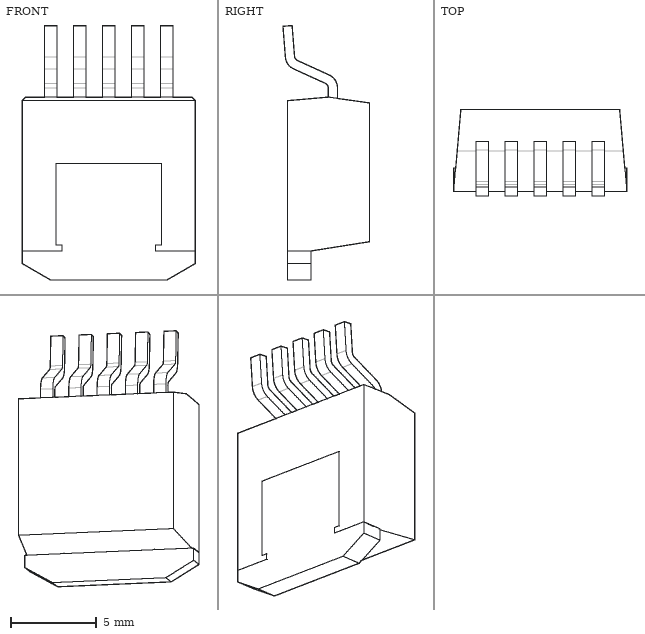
import cadquery as cq
import math

TOTAL_HEIGHT = 14.91

HOUSING_WIDTH = 10.15
HOUSING_DEPTH = 4.82
HOUSING_BOTTOM = 1.7
PARTING_Y = 2.39
PARTING_TOP = 10.72
SIDE_DRAFT = 5.0
FRONT_TOP_DRAFT = 5.0
BACK_TOP_DRAFT = 8.0
BOTTOM_DRAFT = 9.0

TAB_THICKNESS = 1.39
TAB_END_WIDTH = 6.81
TAB_CORNER_HEIGHT = 0.97
NECK_WIDTH = 5.45
NECK_TOP = 2.06
PAD_WIDTH = 6.19
PAD_TOP = 6.83

LEAD_COUNT = 5
LEAD_PITCH = 1.7
LEAD_WIDTH = 0.75
LEAD_THICKNESS = 0.55
BEND_RADIUS = 0.57
LOWER_BEND_Z = 11.61
UPPER_BEND_Z = 12.75
MIDDLE_RISE = 24.5
TIP_LEAN = 4.5


def slope(angle):
    return math.tan(math.radians(angle))


def make_tab():
    """Flat plate with clipped outer corners, a narrow neck and a wider pad."""
    half_outline = [
        (TAB_END_WIDTH / 2, 0),
        (HOUSING_WIDTH / 2, TAB_CORNER_HEIGHT),
        (HOUSING_WIDTH / 2, HOUSING_BOTTOM),
        (NECK_WIDTH / 2, HOUSING_BOTTOM),
        (NECK_WIDTH / 2, NECK_TOP),
        (PAD_WIDTH / 2, NECK_TOP),
        (PAD_WIDTH / 2, PAD_TOP),
    ]
    mirrored_half = [(-x, z) for x, z in reversed(half_outline)]
    return cq.Workplane("XZ").polyline(half_outline + mirrored_half).close().extrude(-TAB_THICKNESS)


def make_housing(tab):
    """Drafted block with a recess that holds the neck and pad of the tab."""
    behind_parting = HOUSING_DEPTH - PARTING_Y
    behind_tab = HOUSING_DEPTH - TAB_THICKNESS
    side_profile = [
        (0, HOUSING_BOTTOM),
        (TAB_THICKNESS, HOUSING_BOTTOM),
        (HOUSING_DEPTH, HOUSING_BOTTOM + behind_tab * slope(BOTTOM_DRAFT)),
        (HOUSING_DEPTH, PARTING_TOP - behind_parting * slope(BACK_TOP_DRAFT)),
        (PARTING_Y, PARTING_TOP),
        (0, PARTING_TOP - PARTING_Y * slope(FRONT_TOP_DRAFT)),
    ]
    block = cq.Workplane("YZ").polyline(side_profile).close().extrude(HOUSING_WIDTH / 2, both=True)

    front_half = HOUSING_WIDTH / 2
    back_half = front_half - HOUSING_DEPTH * slope(SIDE_DRAFT)
    plan = [
        (-front_half, 0),
        (front_half, 0),
        (back_half, HOUSING_DEPTH),
        (-back_half, HOUSING_DEPTH),
    ]
    drafted_sides = cq.Workplane("XY").polyline(plan).close().extrude(TOTAL_HEIGHT)
    return block.intersect(drafted_sides).cut(tab)


def make_lead(x, housing):
    """Rectangular strip bent twice toward the mounting face, its root seated on the housing top."""
    root_y = PARTING_Y + LEAD_THICKNESS / 2
    root_z = (HOUSING_BOTTOM + PARTING_TOP) / 2
    upper_y = root_y - (UPPER_BEND_Z - LOWER_BEND_Z) / slope(MIDDLE_RISE)
    tip_z = TOTAL_HEIGHT - LEAD_THICKNESS / 2 * math.sin(math.radians(TIP_LEAN))
    tip_y = upper_y - (tip_z - UPPER_BEND_Z) * slope(TIP_LEAN)
    corners = [
        cq.Vector(x, root_y, root_z),
        cq.Vector(x, root_y, LOWER_BEND_Z),
        cq.Vector(x, upper_y, UPPER_BEND_Z),
        cq.Vector(x, tip_y, tip_z),
    ]
    centreline = cq.Wire.makePolygon(corners).fillet(BEND_RADIUS)
    section = cq.Workplane("XY", origin=(x, root_y, root_z)).rect(LEAD_WIDTH, LEAD_THICKNESS)
    return section.sweep(centreline).cut(housing)


tab = make_tab()
housing = make_housing(tab)
leads = []
for index in range(LEAD_COUNT):
    lead_x = (index - (LEAD_COUNT - 1) / 2) * LEAD_PITCH
    leads.append(make_lead(lead_x, housing))

result = cq.Compound.makeCompound([housing.val(), tab.val(), *[lead.solids().val() for lead in leads]])